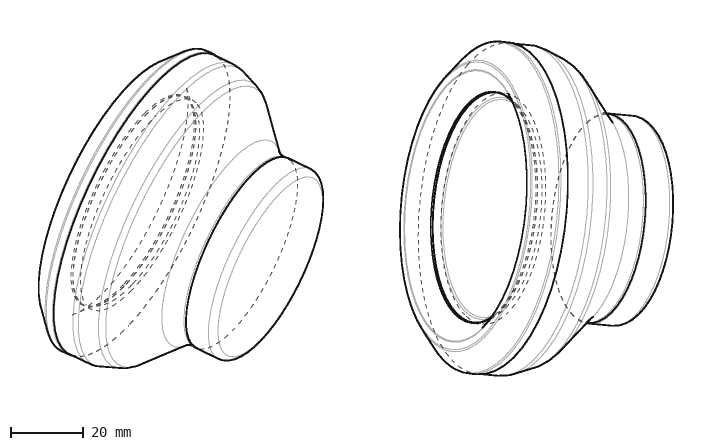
import cadquery as cq
import math


total_length = 50.0
ring_radius = 45.8
ring_back = 8.5
outer_bevel_length = 5.9
outer_bevel_height = 5.9
rim_inner_radius = 37.4
ring_bore_radius = 31.9
inner_bevel_length = 5.5
bevel_edge_fillet = 0.7
small_edge_fillet = 0.4

floor_depth = 8.2
recess_floor_radius = 30.4
floor_fillet = 0.6
lip_front = 6.0
lip_width = 0.2

head_radius = 45.6
neck_radius = 57.6 / 2
collar_radius = 58.0 / 2
shoulder_start = 14.7
shoulder_arc_radius = 4.6
shallow_angle = math.radians(20)
steep_angle = math.radians(45)
shallow_cone_length = 5.3
neck_arc_radius = 8.1
collar_start = 40.85
collar_front_fillet = 0.1
collar_back_fillet = 1.9


def revolve_about_x(profile):
    return profile.close().revolve(360, (0, 0, 0), (1, 0, 0))


def fillet_circle(body, x, radius, fillet_radius):
    """Round the circular edge at this x and radius, leaving the others alone."""
    edges = [
        edge
        for edge in body.edges("%CIRCLE").vals()
        if math.isclose(edge.radius(), radius, abs_tol=0.001)
        and math.isclose(edge.Center().x, x, abs_tol=0.001)
    ]
    return body.newObject(edges).fillet(fillet_radius)


def make_ring():
    rim_outer_radius = ring_radius - outer_bevel_height
    ring = revolve_about_x(
        cq.Workplane("XY")
        .moveTo(0, rim_inner_radius)
        .lineTo(0, rim_outer_radius)
        .lineTo(outer_bevel_length, ring_radius)
        .lineTo(ring_back, ring_radius)
        .lineTo(ring_back, ring_bore_radius)
        .lineTo(inner_bevel_length, ring_bore_radius)
    )
    ring = fillet_circle(ring, 0, rim_outer_radius, bevel_edge_fillet)
    ring = fillet_circle(ring, 0, rim_inner_radius, small_edge_fillet)
    ring = fillet_circle(ring, outer_bevel_length, ring_radius, bevel_edge_fillet)
    return fillet_circle(ring, ring_back, ring_radius, small_edge_fillet)


def make_housing():
    shallow_start = (
        shoulder_start + shoulder_arc_radius * math.sin(shallow_angle),
        head_radius - shoulder_arc_radius * (1 - math.cos(shallow_angle)),
    )
    shallow_end = (
        shallow_start[0] + shallow_cone_length,
        shallow_start[1] - shallow_cone_length * math.tan(shallow_angle),
    )
    steep_start = (
        shallow_end[0] + shoulder_arc_radius * (math.sin(steep_angle) - math.sin(shallow_angle)),
        shallow_end[1] - shoulder_arc_radius * (math.cos(shallow_angle) - math.cos(steep_angle)),
    )
    steep_end_radius = neck_radius + neck_arc_radius * (1 - math.cos(steep_angle))
    steep_end_x = steep_start[0] + (steep_start[1] - steep_end_radius) / math.tan(steep_angle)
    neck_start = steep_end_x + neck_arc_radius * math.sin(steep_angle)

    housing = revolve_about_x(
        cq.Workplane("XY")
        .moveTo(floor_depth, 0)
        .lineTo(floor_depth, recess_floor_radius)
        .lineTo(lip_front, ring_bore_radius - lip_width)
        .lineTo(lip_front, ring_bore_radius)
        .lineTo(ring_back, ring_bore_radius)
        .lineTo(ring_back, head_radius)
        .lineTo(shoulder_start, head_radius)
        .tangentArcPoint(shallow_start, relative=False)
        .lineTo(*shallow_end)
        .tangentArcPoint(steep_start, relative=False)
        .lineTo(steep_end_x, steep_end_radius)
        .tangentArcPoint((neck_start, neck_radius), relative=False)
        .lineTo(collar_start, neck_radius)
        .lineTo(collar_start, collar_radius)
        .lineTo(total_length, collar_radius)
        .lineTo(total_length, 0)
    )
    housing = fillet_circle(housing, floor_depth, recess_floor_radius, floor_fillet)
    housing = fillet_circle(housing, collar_start, collar_radius, collar_front_fillet)
    return fillet_circle(housing, total_length, collar_radius, collar_back_fillet)


ring = make_ring()
housing = make_housing()
result = cq.Compound.makeCompound([ring.val(), housing.val()])